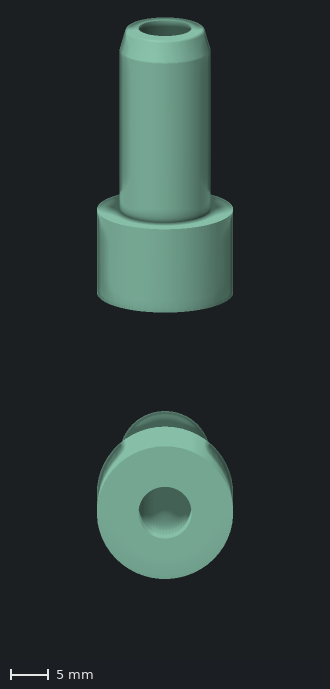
import cadquery as cq

total_height = 36.5
head_diameter = 18.0
head_height = 11.5
shank_diameter = 12.0
bore_diameter = 7.0

lead_height = 3.0
lead_tip_diameter = 10.33
blend_radius = 0.5


def make_head():
    return cq.Workplane("XY").circle(head_diameter / 2).extrude(head_height)


def make_shank():
    """Cylinder ending in a tapered lead-in, as a half profile turned about Z."""
    shank = (
        cq.Workplane("XZ")
        .lineTo(shank_diameter / 2, 0)
        .lineTo(shank_diameter / 2, total_height - lead_height)
        .lineTo(lead_tip_diameter / 2, total_height)
        .lineTo(0, total_height)
        .close()
        .revolve(360, (0, 0, 0), (0, 1, 0))
    )
    lead_edges = shank.faces("%CONE").edges("%CIRCLE")
    return lead_edges.fillet(blend_radius)


def make_bore():
    return cq.Workplane("XY").circle(bore_diameter / 2).extrude(total_height)


result = make_head().union(make_shank()).cut(make_bore())